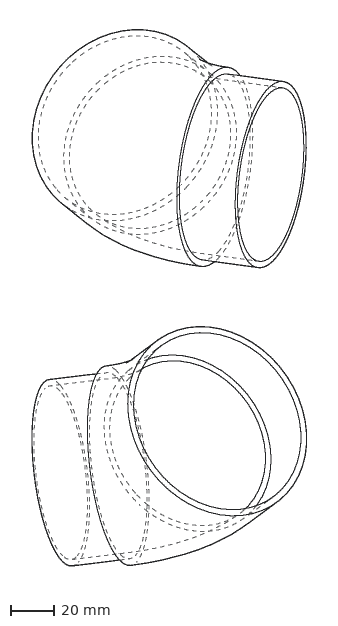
import cadquery as cq
import math

outer_diameter = 93.0
joint_diameter = 87.0
joint_root_diameter = 86.7
bore_diameter = 81.0
bend_angle = 45
bend_radius = 55.0
socket_length = 30.1
spigot_length = 28.0
taper_length = 10.0

angle = math.radians(bend_angle)
bend_end = (bend_radius * math.sin(angle), bend_radius * (1 - math.cos(angle)), 0)
bend_direction = (math.cos(angle), math.sin(angle), 0)
bend_plane = cq.Plane(origin=(0, 0, 0), xDir=(0, 1, 0), normal=(1, 0, 0))
socket_plane = cq.Plane(origin=(0, 0, 0), xDir=(0, 1, 0), normal=(-1, 0, 0))
spigot_plane = cq.Plane(origin=bend_end, xDir=(0, 0, 1), normal=bend_direction)


def straight(plane, diameter, length):
    """Round bar starting on the plane and running along its normal."""
    return cq.Workplane(plane).circle(diameter / 2).extrude(length)


def bend(diameter):
    """Round bar swept through the elbow angle."""
    profile = cq.Workplane(bend_plane).circle(diameter / 2)
    return profile.revolve(bend_angle, (bend_radius, 0), (bend_radius, 1))


def joint(plane, length):
    """Round bar, slightly narrowed in a cone at its root next to the bend."""
    root = cq.Solid.makeCone(
        joint_root_diameter / 2, joint_diameter / 2, taper_length, plane.origin, plane.zDir
    )
    tip_plane = cq.Plane(origin=plane.origin + plane.zDir * taper_length, xDir=plane.xDir, normal=plane.zDir)
    tip = straight(tip_plane, joint_diameter, length - taper_length)
    return tip.union(cq.Workplane(root))


body = straight(socket_plane, outer_diameter, socket_length)
body = body.union(bend(outer_diameter))
body = body.union(joint(spigot_plane, spigot_length))

body = body.cut(joint(socket_plane, socket_length))
body = body.cut(bend(bore_diameter))
body = body.cut(straight(spigot_plane, bore_diameter, spigot_length))

result = body